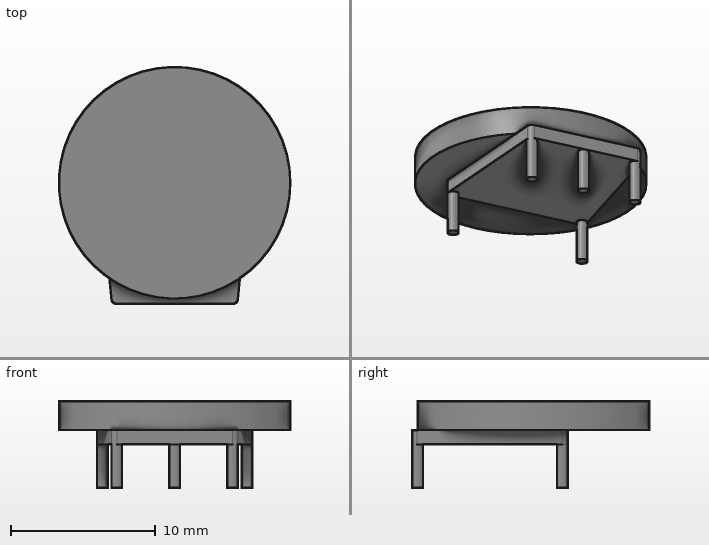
import cadquery as cq

disc_diameter = 16.0
disc_thickness = 2.0
plate_thickness = 1.0
pin_diameter = 0.75
pin_length = 3.0

front_pin_offset_x = 4.0
rear_pin_offset_x = 5.0
rear_pin_y = 2.0
front_pin_y = -disc_diameter / 2
pin_radius = pin_diameter / 2

corner_pins = [
    (-front_pin_offset_x, front_pin_y),
    (front_pin_offset_x, front_pin_y),
    (rear_pin_offset_x, rear_pin_y),
    (-rear_pin_offset_x, rear_pin_y),
]
middle_pin = (0, front_pin_y)

plate_bottom = pin_length
disc_bottom = plate_bottom + plate_thickness


def make_disc():
    """Plain round disc resting on the base plate."""
    return cq.Workplane("XY").workplane(offset=disc_bottom).circle(disc_diameter / 2).extrude(disc_thickness)


def make_pin_base():
    """Trapezoidal plate, rounded around its corner pins, with five pins below it."""
    plate = (
        cq.Workplane("XY")
        .workplane(offset=plate_bottom)
        .polyline(corner_pins)
        .close()
        .offset2D(pin_radius, "arc")
        .extrude(plate_thickness)
    )
    pins = cq.Workplane("XY").pushPoints([*corner_pins, middle_pin]).circle(pin_radius).extrude(pin_length)
    return plate.union(pins)


disc = make_disc()
pin_base = make_pin_base()

result = cq.Compound.makeCompound([*disc.vals(), *pin_base.val().Solids()])